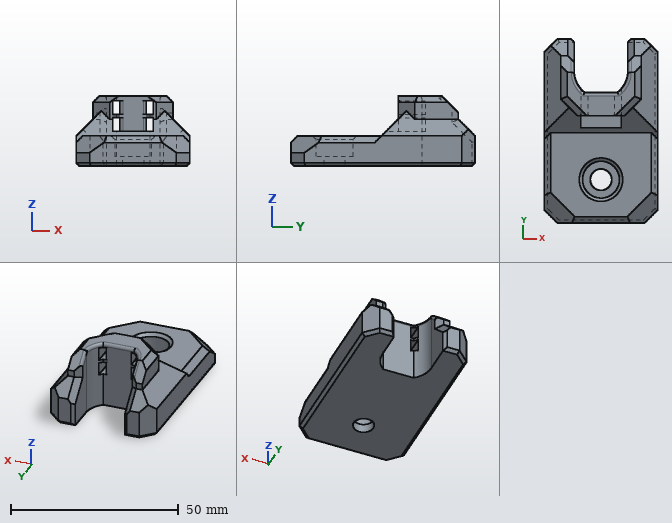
import cadquery as cq
import math

WIDTH = 34.0
LENGTH = 55.0
HEIGHT = 21.0
BASE_TOP = 9.0
CORNER = 4.0
BOTTOM_CHAMFER = 1.0
PLATE_CHAMFER = 2.0
PLATE_CORNER_BEVEL = 5.0

SLOPE_RUN = 5.0
HIP_RISE = 8.0

TOWER_FRONT = 32.0
TOWER_BACK = LENGTH - SLOPE_RUN
TOWER_HALF = WIDTH / 2 - SLOPE_RUN
TOWER_CORNER = 5.0
TOWER_CHAMFER = 2.0
TOWER_BACK_BEVEL = 5.0

SLOT_RADIUS = 8.0
SLOT_CENTER_Y = 45.3
SLOT_FLAT_Y = 39.05
SLOT_RIM_FILLET = 1.0
SLOPE_MOUTH_CHAMFER = 2.0
TOWER_MOUTH_CHAMFER = 2.0
BASE_MOUTH_CHAMFER = 1.0

WINDOW_OUTER = 6.0
POST_HALF = 4.0
POST_FILLET = 1.0
POCKET_FLOOR = 10.5
RIB_BOTTOM = 14.5
RIB_TOP = 15.45
WINDOW_TOP = 19.5

HOLE_Y = 13.0
HOLE_DIAMETER = 6.3
BORE_DIAMETER = 11.0
BORE_FLOOR = 3.0
BORE_CHAMFER = 1.0

RIM_MARGIN = 0.05
OVER = 1.1
SIDES = (-1, 1)


def box(x0, x1, y0, y1, z0, z1):
    return cq.Workplane("XY").box(x1 - x0, y1 - y0, z1 - z0, centered=False).translate((x0, y0, z0))


def bevel_cutter(x, y, z, heading, size):
    """45 degree wedge for a horizontal top edge through (x, y, z); heading points out of the wall."""
    reach = size + OVER
    triangle = [(OVER, -reach), (OVER, OVER), (-reach, OVER)]
    wedge = cq.Workplane("XZ").polyline(triangle).close().extrude(LENGTH, both=True)
    return wedge.rotate((0, 0, 0), (0, 0, 1), heading).translate((x, y, z))


def corner_heading(side):
    """Direction in plan faced by a front corner chamfer."""
    return -90 + 45 * side


def base_prism(height):
    prism = box(-WIDTH / 2, WIDTH / 2, 0, LENGTH, 0, height)
    prism = prism.edges("|Z").chamfer(CORNER)
    return prism.faces("<Z").edges().chamfer(BOTTOM_CHAMFER)


def hip_front_foot():
    return TOWER_FRONT - SLOPE_RUN


def front_plate():
    plate = base_prism(BASE_TOP).intersect(box(-WIDTH, WIDTH, 0, TOWER_FRONT, 0, HEIGHT))
    plate = plate.cut(bevel_cutter(0, 0, BASE_TOP, -90, PLATE_CHAMFER))
    for side in SIDES:
        plate = plate.cut(bevel_cutter(side * WIDTH / 2, 0, BASE_TOP, 90 - 90 * side, PLATE_CHAMFER))
        corner_x = side * (WIDTH - CORNER) / 2
        heading = corner_heading(side)
        plate = plate.cut(bevel_cutter(corner_x, CORNER / 2, BASE_TOP, heading, PLATE_CORNER_BEVEL))
    return plate


def hipped_block():
    top = BASE_TOP + HIP_RISE
    block = base_prism(top)
    foot = hip_front_foot()
    side_outline = [
        (foot - BASE_TOP, 0),
        (LENGTH, 0),
        (LENGTH, BASE_TOP),
        (LENGTH - HIP_RISE, top),
        (foot + HIP_RISE, top),
    ]
    block = block.intersect(cq.Workplane("YZ").polyline(side_outline).close().extrude(WIDTH, both=True))
    for side in SIDES:
        block = block.cut(bevel_cutter(side * WIDTH / 2, 0, top, 90 - 90 * side, HIP_RISE))
    return block


def round_slot():
    """Slot with a full semicircular end, before its flat is filled in."""
    outline = (
        cq.Workplane("XY")
        .moveTo(-SLOT_RADIUS, SLOT_CENTER_Y)
        .threePointArc((0, SLOT_CENTER_Y - SLOT_RADIUS), (SLOT_RADIUS, SLOT_CENTER_Y))
        .lineTo(SLOT_RADIUS, LENGTH + OVER)
        .lineTo(-SLOT_RADIUS, LENGTH + OVER)
        .close()
    )
    return outline.extrude(HEIGHT)


def slot_flat():
    """Filler that turns the round end of the slot into a flat with a rounded top edge."""
    half = math.sqrt(SLOT_RADIUS**2 - (SLOT_CENTER_Y - SLOT_FLAT_Y) ** 2) + SLOT_RIM_FILLET
    front = SLOT_CENTER_Y - SLOT_RADIUS - SLOT_RIM_FILLET
    filler = box(-half, half, front, SLOT_FLAT_Y, 0, HEIGHT)
    return filler.edges(">Z and >Y").fillet(SLOT_RIM_FILLET)


def mouth_flare(back, size):
    """Full-height cutter that chamfers both vertical slot edges on the wall y = back."""
    outline = [
        (-SLOT_RADIUS - size, back),
        (-SLOT_RADIUS, back - size),
        (SLOT_RADIUS, back - size),
        (SLOT_RADIUS + size, back),
    ]
    return cq.Workplane("XY").polyline(outline).close().extrude(HEIGHT)


def slope_plane(y, z):
    """Sketch plane square to a 45 degree back slope through (0, y, z); its local Y leaves the slope."""
    return cq.Workplane(cq.Plane(origin=(0, y, z), xDir=(1, 0, 0), normal=(0, -1, 1)))


def slope_rim_cutter():
    """Rounds both slot edges on the back bevel of the tower."""
    flare_half = SLOT_RADIUS + SLOT_RIM_FILLET
    outline = (
        slope_plane(TOWER_BACK, HEIGHT - TOWER_BACK_BEVEL)
        .moveTo(-flare_half, 0)
        .radiusArc((-SLOT_RADIUS, -SLOT_RIM_FILLET), SLOT_RIM_FILLET)
        .lineTo(SLOT_RADIUS, -SLOT_RIM_FILLET)
        .radiusArc((flare_half, 0), SLOT_RIM_FILLET)
        .close()
    )
    return outline.extrude(LENGTH / 2, both=True)


def slotted_block():
    block = hipped_block().cut(round_slot())
    flare_half = SLOT_RADIUS + SLOPE_MOUTH_CHAMFER
    flare = (
        slope_plane(LENGTH, BASE_TOP)
        .moveTo(-flare_half, 0)
        .lineTo(-SLOT_RADIUS, -SLOPE_MOUTH_CHAMFER)
        .lineTo(SLOT_RADIUS, -SLOPE_MOUTH_CHAMFER)
        .lineTo(flare_half, 0)
        .close()
    )
    block = block.cut(flare.extrude(LENGTH / 2, both=True))
    return block.cut(mouth_flare(LENGTH, BASE_MOUTH_CHAMFER))


def tower():
    body = box(-TOWER_HALF, TOWER_HALF, TOWER_FRONT, TOWER_BACK, BASE_TOP, HEIGHT)
    body = body.edges("|Z and <Y").chamfer(TOWER_CORNER)
    body = body.cut(round_slot())
    rim_zone = cq.selectors.BoxSelector(
        (-SLOT_RADIUS - RIM_MARGIN, TOWER_FRONT + RIM_MARGIN, HEIGHT - RIM_MARGIN),
        (SLOT_RADIUS + RIM_MARGIN, TOWER_BACK - RIM_MARGIN, HEIGHT + RIM_MARGIN),
    )
    body = body.edges(rim_zone).fillet(SLOT_RIM_FILLET)
    body = body.cut(bevel_cutter(0, TOWER_BACK, HEIGHT, 90, TOWER_BACK_BEVEL))
    body = body.cut(slope_rim_cutter())
    for side in SIDES:
        body = body.cut(bevel_cutter(side * TOWER_HALF, 0, HEIGHT, 90 - 90 * side, TOWER_CHAMFER))
        corner_x = side * (TOWER_HALF - TOWER_CORNER / 2)
        corner_y = TOWER_FRONT + TOWER_CORNER / 2
        body = body.cut(bevel_cutter(corner_x, corner_y, HEIGHT, corner_heading(side), TOWER_CHAMFER))
    return body.cut(mouth_flare(TOWER_BACK, TOWER_MOUTH_CHAMFER))


def tie_windows():
    """Pocket in the front slope with two stacked windows on each side of the central post."""
    pocket = box(-WINDOW_OUTER, WINDOW_OUTER, hip_front_foot(), TOWER_FRONT, POCKET_FLOOR, HEIGHT)
    post = box(-POST_HALF, POST_HALF, TOWER_FRONT, SLOT_CENTER_Y, 0, HEIGHT)
    post = post.edges("|Z and <Y").fillet(POST_FILLET)
    cutter = pocket
    for z0, z1 in ((POCKET_FLOOR, RIB_BOTTOM), (RIB_TOP, WINDOW_TOP)):
        level = box(-WINDOW_OUTER, WINDOW_OUTER, TOWER_FRONT, SLOT_CENTER_Y, z0, z1)
        cutter = cutter.union(level.cut(post))
    return cutter


def screw_hole():
    hole = cq.Workplane("XY").circle(HOLE_DIAMETER / 2).extrude(BASE_TOP)
    bore = cq.Workplane("XY").workplane(offset=BORE_FLOOR).circle(BORE_DIAMETER / 2)
    bore = bore.extrude(BASE_TOP - BORE_FLOOR)
    rim = cq.Workplane("XY").workplane(offset=BASE_TOP).circle(BORE_DIAMETER / 2 + BORE_CHAMFER)
    rim = rim.extrude(-BORE_CHAMFER, taper=45)
    return hole.union(bore).union(rim).translate((0, HOLE_Y, 0))


result = front_plate().union(slotted_block()).union(tower()).union(slot_flat())
result = result.cut(tie_windows()).cut(screw_hole())